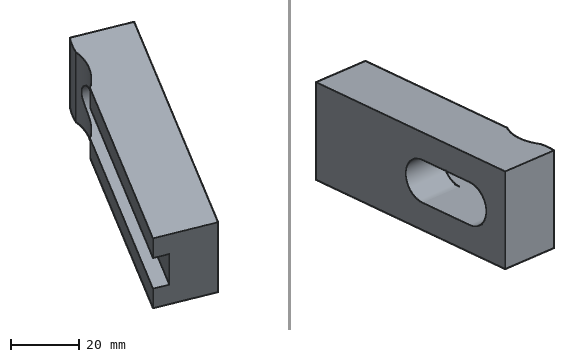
import cadquery as cq

length = 80.0
thickness = 20.0
height = 32.0

nose_width = 5.8
nose_sag = 0.2
relief_end = 20.0
relief_apex_x = 12.9
relief_depth = 2.1

slot_width = 14.0
slot_start = 8.0
slot_end = 42.0
groove_depth = thickness / 4


def make_body():
    """Plan outline with the nose and relief arcs, extruded upward."""
    return (
        cq.Workplane("XY")
        .moveTo(0, thickness)
        .lineTo(0, nose_sag)
        .threePointArc((nose_width / 2, 0), (nose_width, nose_sag))
        .threePointArc((relief_apex_x, relief_depth), (relief_end, 0))
        .lineTo(length, 0)
        .lineTo(length, thickness)
        .close()
        .extrude(height)
    )


def make_slot():
    """Round-ended slot through the whole thickness."""
    return (
        cq.Workplane("XZ")
        .center((slot_start + slot_end) / 2, height / 2)
        .slot2D(slot_end - slot_start, slot_width)
        .extrude(-thickness)
    )


def make_groove():
    """Open groove from the middle of the slot to the +X end."""
    groove_start = (slot_start + slot_end) / 2
    return cq.Workplane("XY").box(
        length - groove_start, groove_depth, slot_width, centered=(False, False, True)
    ).translate((groove_start, 0, height / 2))


result = make_body().cut(make_slot()).cut(make_groove())